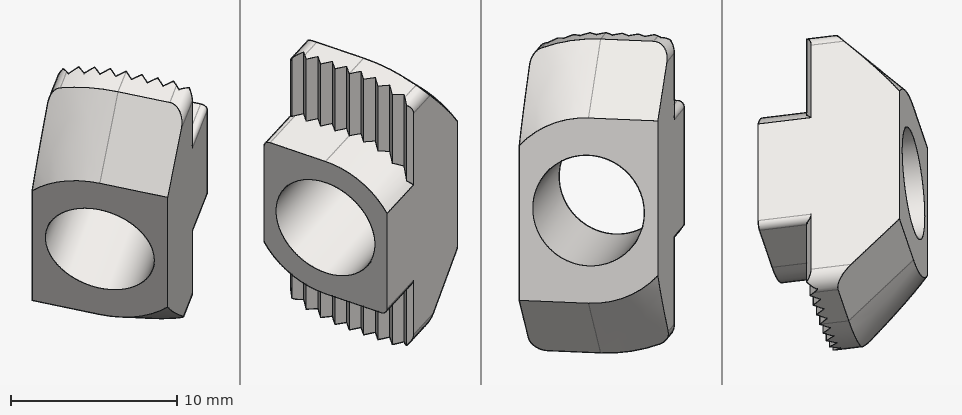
import cadquery as cq
import math

width = 8.5
depth = 8.7
height = 19.4
half_width = width / 2
front_y = -depth / 2

flange_depth = 5.76
flange_radius = height / 2
flange_corner_radius = 1.0
front_face_radius = 5.72
bevel_depth = flange_radius - front_face_radius

neck_radius = 5.0
neck_corner_radius = 0.43

tooth_pitch = 0.99
tooth_depth = 0.56
groove_pairs = math.ceil(half_width / tooth_pitch)

bore_diameter = 6.83


def twist_outline(radius):
    """Outline facing -Y: square on two opposite corners, swept round on the other two."""
    corner_z = math.sqrt(radius**2 - half_width**2)
    mid_x = radius * math.sin(math.asin(half_width / radius) / 2)
    mid_z = math.sqrt(radius**2 - mid_x**2)
    return (
        cq.Workplane("XZ")
        .moveTo(0, radius)
        .lineTo(half_width, radius)
        .lineTo(half_width, -corner_z)
        .threePointArc((mid_x, -mid_z), (0, -radius))
        .lineTo(-half_width, -radius)
        .lineTo(-half_width, corner_z)
        .threePointArc((-mid_x, mid_z), (0, radius))
        .close()
    )


def twist_block(radius, length):
    """Extrude the outline from the front face towards +Y."""
    return twist_outline(radius).extrude(-length).translate((0, front_y, 0))


def make_bevel_envelope():
    """Tapered extrusion whose straight and round stretches share one 45 degree bevel."""
    bevel_end_y = front_y + bevel_depth
    back_y = front_y + flange_depth
    half_profile = [
        (0, front_y),
        (front_face_radius, front_y),
        (flange_radius, bevel_end_y),
        (flange_radius, back_y),
        (0, back_y),
    ]
    envelope = cq.Workplane("XY").polyline(half_profile).close().revolve(360, (0, 0, 0), (0, 1, 0))
    for side in (1, -1):
        wedge_profile = [(y, side * z) for z, y in half_profile]
        wedge = cq.Workplane("YZ").polyline(wedge_profile).close().extrude(side * half_width)
        envelope = envelope.union(wedge)
    return envelope


def make_flange():
    plate = twist_block(flange_radius, flange_depth)
    plate = plate.edges("|Y").edges("<X or >X").fillet(flange_corner_radius)
    return plate.intersect(make_bevel_envelope())


def cut_serrations(flange):
    """Cut V grooves along Z, with a tooth crest on the centre plane."""
    back_y = front_y + flange_depth
    for index in range(-groove_pairs, groove_pairs):
        crest_x = index * tooth_pitch
        groove = (
            cq.Workplane("XY", origin=(0, 0, -height / 2))
            .moveTo(crest_x, back_y)
            .lineTo(crest_x + tooth_pitch / 2, back_y - tooth_depth)
            .lineTo(crest_x + tooth_pitch, back_y)
            .close()
            .extrude(height)
        )
        flange = flange.cut(groove)
    return flange


def make_neck():
    neck = twist_block(neck_radius, depth)
    square_corners = cq.selectors.SumSelector(
        cq.selectors.NearestToPointSelector((half_width, 0, neck_radius)),
        cq.selectors.NearestToPointSelector((-half_width, 0, -neck_radius)),
    )
    return neck.edges("|Y").edges(square_corners).fillet(neck_corner_radius)


def make_bore():
    return cq.Workplane("XZ", origin=(0, front_y, 0)).circle(bore_diameter / 2).extrude(-depth)


result = cut_serrations(make_flange()).union(make_neck()).cut(make_bore())